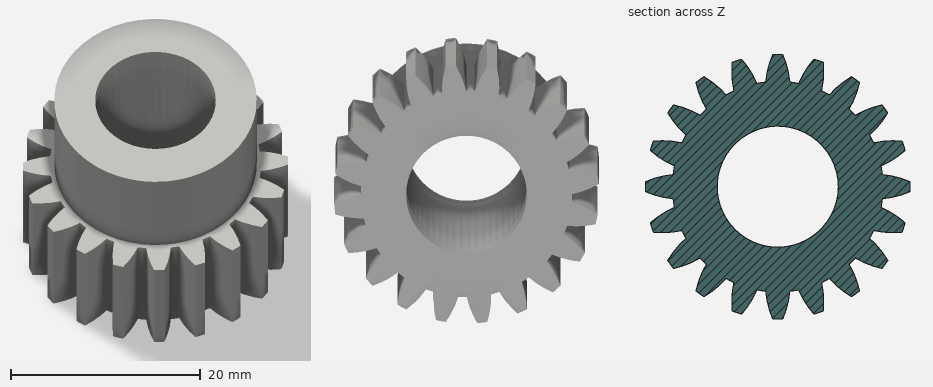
import cadquery as cq
import math

INCH = 25.4

tooth_count = 20
diametral_pitch = 20
dedendum_factor = 1.25

module = INCH / diametral_pitch
pitch_radius = module * tooth_count / 2
outer_radius = pitch_radius + module
root_radius = pitch_radius - dedendum_factor * module
tooth_spacing = 2 * math.pi / tooth_count

tip_half_angle = math.radians(2.2)
pitch_half_angle = tooth_spacing / 4
root_half_angle = math.radians(6.7)

face_width = 0.50 * INCH
hub_length = 0.44 * INCH
hub_diameter = 0.84 * INCH
bore_diameter = 0.50 * INCH
total_length = face_width + hub_length


def polar(radius, angle):
    return (radius * math.cos(angle), radius * math.sin(angle))


def add_tooth(outline, center):
    """Add one tooth with arc flanks, and the root land that follows it."""
    outline = outline.threePointArc(
        polar(pitch_radius, center - pitch_half_angle),
        polar(outer_radius, center - tip_half_angle),
    )
    outline = outline.threePointArc(
        polar(outer_radius, center),
        polar(outer_radius, center + tip_half_angle),
    )
    outline = outline.threePointArc(
        polar(pitch_radius, center + pitch_half_angle),
        polar(root_radius, center + root_half_angle),
    )
    return outline.threePointArc(
        polar(root_radius, center + tooth_spacing / 2),
        polar(root_radius, center + tooth_spacing - root_half_angle),
    )


def make_gear():
    """Toothed blank, with the first tooth centred on +X."""
    outline = cq.Workplane("XY").moveTo(*polar(root_radius, -root_half_angle))
    for tooth in range(tooth_count):
        outline = add_tooth(outline, tooth * tooth_spacing)
    return outline.close().extrude(face_width)


def make_hub():
    """Plain round hub standing on the top face of the gear."""
    return cq.Workplane("XY", origin=(0, 0, face_width)).circle(hub_diameter / 2).extrude(hub_length)


def make_bore():
    """Through bore along the gear axis."""
    return cq.Workplane("XY").circle(bore_diameter / 2).extrude(total_length)


result = make_gear().union(make_hub()).cut(make_bore())